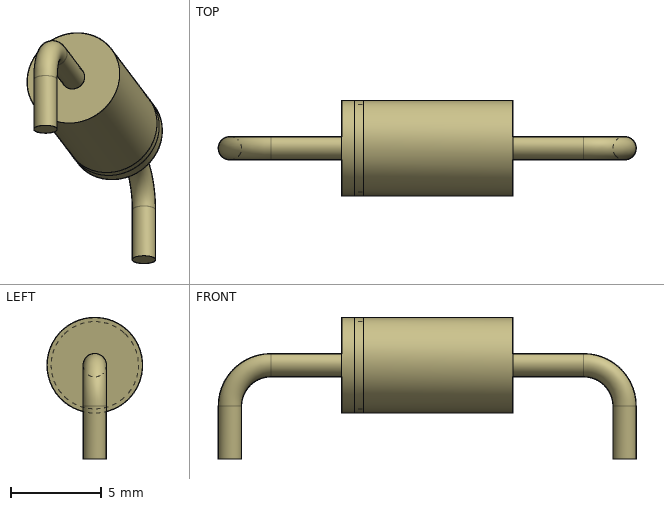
import cadquery as cq

overall_length = 23.2
overall_height = 7.85

housing_diameter = 5.3
housing_length = 9.5

band_offset = 0.72
band_width = 0.49
band_thickness = 0.23

lead_diameter = 1.3
bend_radius = 2.27

housing_radius = housing_diameter / 2
housing_end = housing_length / 2
lead_x = (overall_length - lead_diameter) / 2
lead_tip_z = housing_radius - overall_height
band_start = -housing_end + band_offset


def cylinder_along_x(start, length, radius):
    return cq.Workplane("YZ", origin=(start, 0, 0)).circle(radius).extrude(length)


def make_band():
    """Ring whose outer face is flush with the housing."""
    outer = cylinder_along_x(band_start, band_width, housing_radius)
    core = cylinder_along_x(band_start, band_width, housing_radius - band_thickness)
    return outer.cut(core)


def make_housing(band):
    """Solid cylinder with a groove that receives the band."""
    return cylinder_along_x(-housing_end, housing_length, housing_radius).cut(band)


def make_lead(side):
    """Wire from one housing end face, bent down; side is -1 or +1 along X."""
    path = (
        cq.Workplane("XZ")
        .moveTo(side * housing_end, 0)
        .lineTo(side * (lead_x - bend_radius), 0)
        .tangentArcPoint((side * lead_x, -bend_radius), relative=False)
        .lineTo(side * lead_x, lead_tip_z)
    )
    section = cq.Workplane("YZ", origin=(side * housing_end, 0, 0)).circle(lead_diameter / 2)
    return section.sweep(path)


band = make_band()
housing = make_housing(band)
leads = [make_lead(side) for side in (-1, 1)]

result = cq.Compound.makeCompound([housing.val(), band.val(), *[lead.val() for lead in leads]])